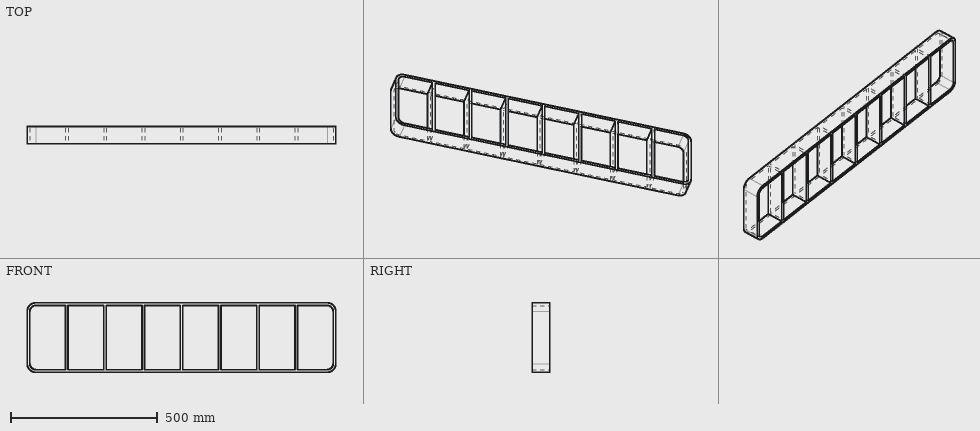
import cadquery as cq

length = 1054.0
depth = 60.0
height = 238.0

wall = 10.0
corner_radius = 30.0
divider_thickness = 10.0
cell_count = 8

inner_length = length - 2 * wall
inner_height = height - 2 * wall
cell_width = (inner_length - (cell_count - 1) * divider_thickness) / cell_count
divider_pitch = cell_width + divider_thickness


def rounded_block(block_length, block_height, radius):
    """Block centred on the origin, with its four corner edges along Y rounded."""
    return cq.Workplane("XY").box(block_length, depth, block_height).edges("|Y").fillet(radius)


def make_frame():
    """Closed rectangular band of constant wall thickness with rounded corners."""
    outside = rounded_block(length, height, corner_radius)
    opening = rounded_block(inner_length, inner_height, corner_radius - wall)
    return outside.cut(opening)


def make_divider(x):
    """Upright plate that spans the opening and meets the frame at top and bottom."""
    return cq.Workplane("XY").box(divider_thickness, depth, inner_height).translate((x, 0, 0))


result = make_frame()
for index in range(1, cell_count):
    divider_x = (index - cell_count / 2) * divider_pitch
    result = result.union(make_divider(divider_x))